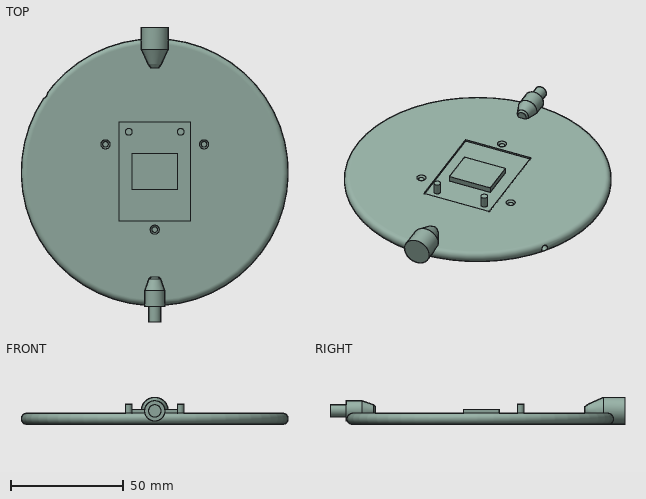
import cadquery as cq
import math

disc_diameter = 118.7
disc_thickness = 5.0

recess_width = 32.0
recess_length = 44.0
recess_depth = 0.8
recess_center_y = 0.4

chip_width = 20.0
chip_length = 16.0
chip_top = 6.7
pin_diameter = 3.0
pin_top = 9.0
pin_offset_x = 11.5
pin_y = 18.0

dimple_count = 3
dimple_circle_radius = 25.3
dimple_circle_center_y = -0.3
dimple_top_diameter = 4.0
dimple_floor_diameter = 2.5
dimple_depth = 0.8
dimple_start_angle = -90

rim_hole_diameter = 3.0
rim_hole_angle = 145
rim_hole_depth = 6.5

large_diameter = 12.0
connector_axis_z = large_diameter / 2

large_outer_y = 64.3
large_shoulder_y = 54.6
large_tip_y = 46.4
large_nose_diameter = 6.0
large_tip_diameter = 3.7
large_chamfer_length = 1.6

small_diameter = 9.0
small_outer_y = -59.7
small_shoulder_y = -52.7
small_tip_y = -46.6
small_nose_diameter = 5.5
small_tip_diameter = 3.9
small_chamfer_length = 0.9

spigot_diameter = 5.5
spigot_end_y = -66.7


def make_disc():
    """Slab with a half-round edge, revolved about Z from a seam under the large connector."""
    rim_radius = disc_thickness / 2
    flat_radius = disc_diameter / 2 - rim_radius
    profile = (
        cq.Workplane("YZ")
        .lineTo(flat_radius, 0)
        .threePointArc((disc_diameter / 2, rim_radius), (flat_radius, disc_thickness))
        .lineTo(0, disc_thickness)
        .close()
    )
    return profile.revolve(360, (0, 0), (0, 1))


def make_recess():
    return (
        cq.Workplane("XY", origin=(0, recess_center_y, disc_thickness - recess_depth))
        .rect(recess_width, recess_length)
        .extrude(recess_depth)
    )


def make_chip_and_pins():
    floor_z = disc_thickness - recess_depth
    chip = (
        cq.Workplane("XY", origin=(0, recess_center_y, floor_z))
        .rect(chip_width, chip_length)
        .extrude(chip_top - floor_z)
    )
    pins = (
        cq.Workplane("XY", origin=(0, 0, floor_z))
        .pushPoints([(-pin_offset_x, pin_y), (pin_offset_x, pin_y)])
        .circle(pin_diameter / 2)
        .extrude(pin_top - floor_z)
    )
    return [chip, pins]


def make_dimple(angle):
    """Tapered cutter reaching down from the top face."""
    x = dimple_circle_radius * math.cos(math.radians(angle))
    y = dimple_circle_center_y + dimple_circle_radius * math.sin(math.radians(angle))
    return (
        cq.Workplane("XY", origin=(x, y, disc_thickness))
        .circle(dimple_top_diameter / 2)
        .workplane(offset=-dimple_depth)
        .circle(dimple_floor_diameter / 2)
        .loft()
    )


def make_rim_hole():
    """Cutter from just outside the rim to the hole floor, turned to its place around Z."""
    floor_radius = disc_diameter / 2 - rim_hole_depth
    cutter = (
        cq.Workplane("YZ", origin=(floor_radius, 0, disc_thickness / 2))
        .circle(rim_hole_diameter / 2)
        .extrude(2 * rim_hole_depth)
    )
    return cutter.rotate((0, 0, 0), (0, 0, 1), rim_hole_angle)


def make_connector(stations):
    """Solid turned about the connector axis from (y, diameter) stations joined by straight lines."""
    first_y = stations[0][0]
    last_y = stations[-1][0]
    profile = cq.Workplane("XY", origin=(0, 0, connector_axis_z)).moveTo(0, first_y)
    for y, diameter in stations:
        profile = profile.lineTo(diameter / 2, y)
    return profile.lineTo(0, last_y).close().revolve(360, (0, 0), (0, 1))


def make_large_connector():
    return make_connector(
        [
            (large_outer_y, large_diameter),
            (large_shoulder_y, large_diameter),
            (large_tip_y + large_chamfer_length, large_nose_diameter),
            (large_tip_y, large_tip_diameter),
        ]
    )


def make_small_connector():
    """Turned body with a thinner spigot on its outer end."""
    return make_connector(
        [
            (spigot_end_y, spigot_diameter),
            (small_outer_y, spigot_diameter),
            (small_outer_y, small_diameter),
            (small_shoulder_y, small_diameter),
            (small_tip_y - small_chamfer_length, small_nose_diameter),
            (small_tip_y, small_tip_diameter),
        ]
    )


body = make_disc().cut(make_recess()).cut(make_rim_hole())

for index in range(dimple_count):
    body = body.cut(make_dimple(dimple_start_angle + index * 360 / dimple_count))

for raised in make_chip_and_pins():
    body = body.union(raised)

result = body.union(make_large_connector()).union(make_small_connector())